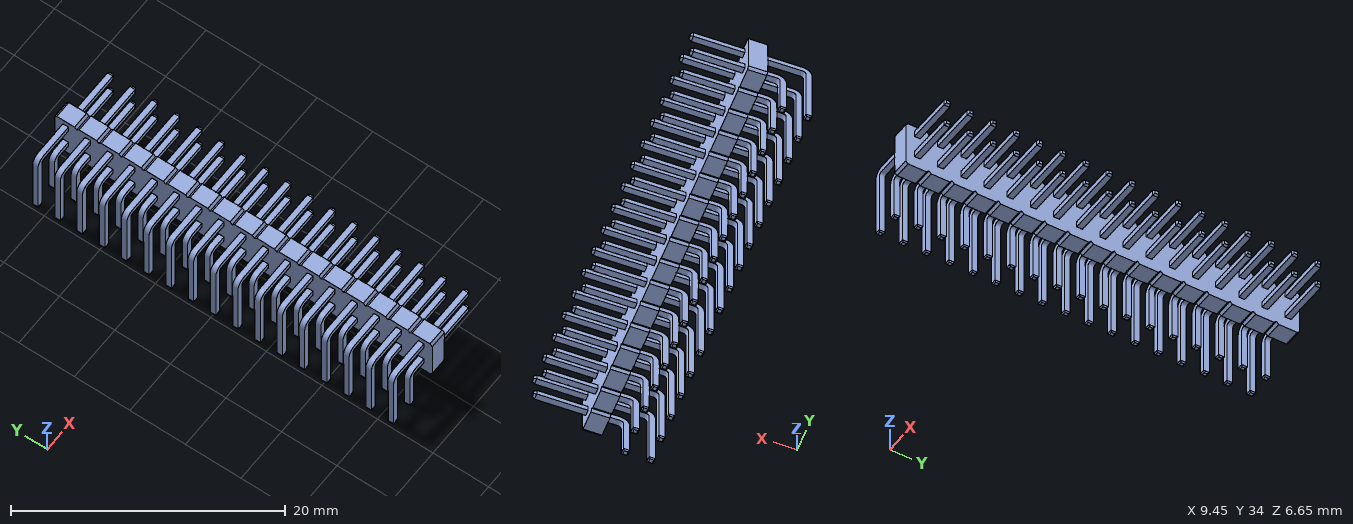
import cadquery as cq

columns = 17
pitch = 2.0
body_depth = 1.5
body_height = 4.0
body_chamfer = 0.2
pin_size = 0.5
bend_outer_radius = 0.75
mating_length = 4.2
tail_offset = 3.75
upper_pin_drop = 0.75
overall_height = 6.65
mating_tip_length = 0.2
tail_tip_length = 0.1
tip_inset = 0.1

body_length = columns * pitch
first_column_y = -(body_length - pitch) / 2
half_pin = pin_size / 2
mating_end_x = body_depth + mating_length
tail_end_z = -overall_height
upper_axis_z = -upper_pin_drop
lower_axis_z = upper_axis_z - pitch
long_tail_x = half_pin - tail_offset
short_tail_x = long_tail_x + pitch
bend_radius = bend_outer_radius - half_pin
tip_size = pin_size - 2 * tip_inset


def body_segment(y):
    """One eight-sided block of the insulator, centred on a column of pins."""
    return (
        cq.Workplane("XY")
        .box(body_depth, pitch, body_height)
        .edges("|X")
        .chamfer(body_chamfer)
        .translate((body_depth / 2, y, -body_height / 2))
    )


def tapered_tip(base_plane, length):
    """Truncated pyramid that ends a square pin."""
    return (
        cq.Workplane(base_plane)
        .rect(pin_size, pin_size)
        .workplane(offset=length)
        .rect(tip_size, tip_size)
        .loft(ruled=True, combine=True)
    )


def bent_pin(axis_z, tail_x):
    """Right-angle square pin at Y = 0: mating end along +X, tail pointing down."""
    tail_base_z = tail_end_z + tail_tip_length
    mating_base_x = mating_end_x - mating_tip_length
    bend_centre = (tail_x + bend_radius, axis_z - bend_radius)
    diagonal = bend_radius / 2**0.5
    path = (
        cq.Workplane("XZ")
        .moveTo(tail_x, tail_base_z)
        .lineTo(tail_x, bend_centre[1])
        .threePointArc(
            (bend_centre[0] - diagonal, bend_centre[1] + diagonal),
            (bend_centre[0], axis_z),
        )
        .lineTo(mating_base_x, axis_z)
    )
    shank = cq.Workplane("XY", origin=(tail_x, 0, tail_base_z)).rect(pin_size, pin_size).sweep(path)
    mating_plane = cq.Plane(origin=(mating_base_x, 0, axis_z), xDir=(0, 1, 0), normal=(1, 0, 0))
    tail_plane = cq.Plane(origin=(tail_x, 0, tail_base_z), xDir=(1, 0, 0), normal=(0, 0, -1))
    return (
        shank
        .union(tapered_tip(mating_plane, mating_tip_length))
        .union(tapered_tip(tail_plane, tail_tip_length))
    )


upper_pin = bent_pin(upper_axis_z, long_tail_x)
lower_pin = bent_pin(lower_axis_z, short_tail_x)

result = cq.Workplane("XY")
for column in range(columns):
    column_y = first_column_y + column * pitch
    result = result.union(body_segment(column_y))
    result = result.union(upper_pin.translate((0, column_y, 0)))
    result = result.union(lower_pin.translate((0, column_y, 0)))